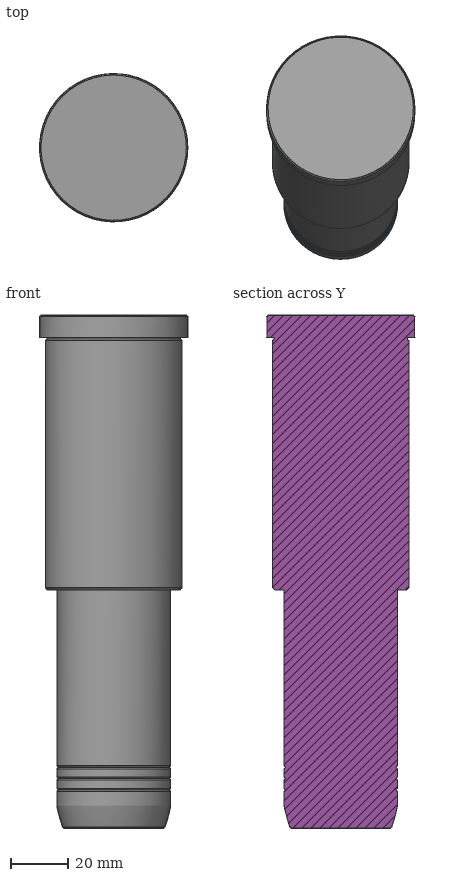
import cadquery as cq

total_length = 180.0
head_diameter = 52.0
head_thickness = 8.0
head_chamfer = 0.5
body_diameter = 48.0
body_bottom = 83.5
body_chamfer = 0.9
pin_diameter = 40.0

neck_length = 0.5
neck_depth = 0.5

tip_length = 8.0
tip_diameter = 36.0
tip_chamfer = 0.5
tip_bulge = 0.2

groove_count = 3
groove_pitch = 4.0
lowest_groove = 13.0
groove_width = 1.0
groove_depth = 0.5


def cylinder(diameter, bottom, top):
    """Cylinder on the Z axis between two heights."""
    return cq.Workplane("XY").workplane(offset=bottom).circle(diameter / 2).extrude(top - bottom)


def v_groove(diameter, depth, bottom, width):
    """Ring that cuts a V-shaped groove into a cylinder of the given diameter."""
    radius = diameter / 2
    return (
        cq.Workplane("XZ")
        .moveTo(radius + depth, bottom)
        .lineTo(radius, bottom)
        .lineTo(radius - depth, bottom + width / 2)
        .lineTo(radius, bottom + width)
        .lineTo(radius + depth, bottom + width)
        .close()
        .revolve(360, (0, 0, 0), (0, 1, 0))
    )


def make_pin():
    """Pin with a convex lead-in and a small chamfer around its end face."""
    pin_radius = pin_diameter / 2
    tip_radius = tip_diameter / 2
    middle = ((pin_radius + tip_radius) / 2 + tip_bulge, (tip_length + tip_chamfer) / 2)
    return (
        cq.Workplane("XZ")
        .lineTo(tip_radius - tip_chamfer, 0)
        .lineTo(tip_radius, tip_chamfer)
        .threePointArc(middle, (pin_radius, tip_length))
        .lineTo(pin_radius, body_bottom)
        .lineTo(0, body_bottom)
        .close()
        .revolve(360, (0, 0, 0), (0, 1, 0))
    )


head_bottom = total_length - head_thickness
head = cylinder(head_diameter, head_bottom, total_length).faces(">Z").chamfer(head_chamfer)
neck_bottom = head_bottom - neck_length
body = cylinder(body_diameter, body_bottom, neck_bottom)
body = body.faces("<Z").chamfer(body_chamfer).faces(">Z").chamfer(neck_depth)
neck = cylinder(body_diameter - 2 * neck_depth, neck_bottom, head_bottom)

result = make_pin().union(body).union(neck).union(head)

for index in range(groove_count):
    groove_bottom = lowest_groove + index * groove_pitch
    result = result.cut(v_groove(pin_diameter, groove_depth, groove_bottom, groove_width))